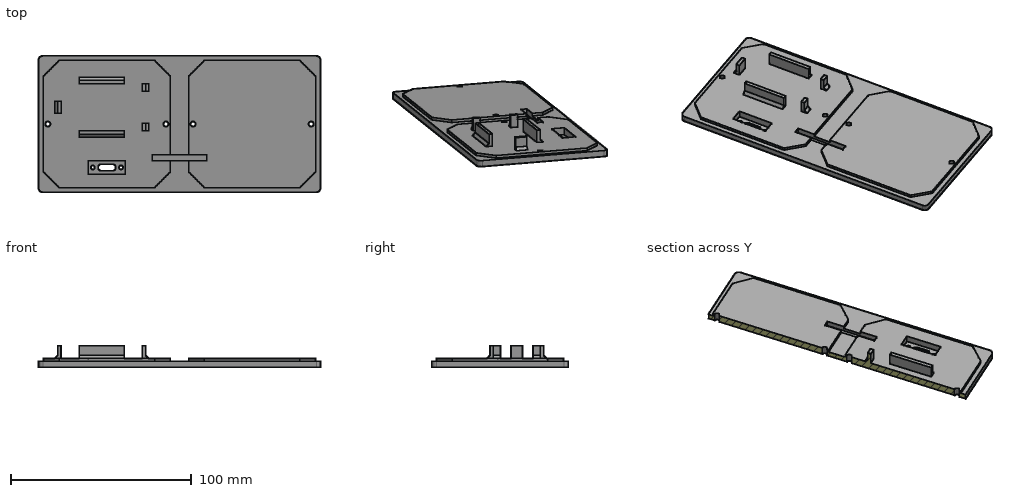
import cadquery as cq

PLATE_LENGTH = 156.0
PLATE_WIDTH = 75.5
PLATE_THICKNESS = 3.5
PLATE_CORNER_RADIUS = 2.5
TOTAL_HEIGHT = 12.0

PANEL_PITCH = 80.25
PANEL_LENGTH = 70.25
PANEL_WIDTH = 70.25
PANEL_HEIGHT = 1.5
PANEL_CORNER_CUT = 8.75
PANEL_TOP = PLATE_THICKNESS + PANEL_HEIGHT
PANEL_CENTERS = (-PANEL_PITCH / 2, PANEL_PITCH / 2)

SCREW_DIAMETER = 2.7
SCREW_SPACING = 65.25

BOARD_LEFT = -65.35
BOARD_LENGTH = 44.7
BOARD_WIDTH = 25.8
BOARD_CENTER_Y = 9.3
BOARD_RIGHT = BOARD_LEFT + BOARD_LENGTH
BOARD_FRONT = BOARD_CENTER_Y - BOARD_WIDTH / 2
BOARD_BACK = BOARD_CENTER_Y + BOARD_WIDTH / 2
WALL_THICKNESS = 2.0
WALL_HEIGHT = TOTAL_HEIGHT - PANEL_TOP
GUSSET_SIZE = 1.65
SIDE_WALL_LENGTH = 25.0
SIDE_WALL_CENTER_X = -43.0
LEFT_TAB_LENGTH = 6.5
RIGHT_TAB_LENGTH = 4.0

CHANNEL_LENGTH = 30.0
CHANNEL_WIDTH = 3.4
CHANNEL_CENTER_Y = -18.6
CHANNEL_FLOOR = 1.75

POCKET_LENGTH = 20.5
POCKET_WIDTH = 7.3
POCKET_FLOOR = 1.0
POCKET_CENTER_X = PANEL_CENTERS[0]
POCKET_CENTER_Y = -24.0
OPENING_LENGTH = 9.5
OPENING_WIDTH = 3.4
OPENING_CORNER_RADIUS = 1.4
CONNECTOR_SCREW_DIAMETER = 2.1
CONNECTOR_SCREW_SPACING = 15.6


def make_plate():
    plate = cq.Workplane("XY").box(PLATE_LENGTH, PLATE_WIDTH, PLATE_THICKNESS, centered=(True, True, False))
    return plate.edges("|Z").fillet(PLATE_CORNER_RADIUS)


def make_panels():
    panels = cq.Workplane("XY").workplane(offset=PLATE_THICKNESS)
    panels = panels.pushPoints([(x, 0) for x in PANEL_CENTERS])
    panels = panels.rect(PANEL_LENGTH, PANEL_WIDTH).extrude(PANEL_HEIGHT)
    return panels.edges("|Z").chamfer(PANEL_CORNER_CUT)


def make_wall(length, inner_x, inner_y, outward_angle):
    """Upright wall with a 45 degree gusset along the foot of its outer face.

    (inner_x, inner_y) is the middle of the inner face; outward_angle is the
    direction, in degrees from +X, in which the outer face looks.
    """
    foot = WALL_THICKNESS + GUSSET_SIZE
    profile = [
        (0, 0),
        (foot, 0),
        (WALL_THICKNESS, GUSSET_SIZE),
        (WALL_THICKNESS, WALL_HEIGHT),
        (0, WALL_HEIGHT),
    ]
    wall = cq.Workplane("XZ").polyline(profile).close().extrude(length / 2, both=True)
    wall = wall.rotate((0, 0, 0), (0, 0, 1), outward_angle)
    return wall.translate((inner_x, inner_y, PANEL_TOP))


def make_board_walls():
    half_tab = RIGHT_TAB_LENGTH / 2
    walls = make_wall(SIDE_WALL_LENGTH, SIDE_WALL_CENTER_X, BOARD_BACK, 90)
    walls = walls.add(make_wall(SIDE_WALL_LENGTH, SIDE_WALL_CENTER_X, BOARD_FRONT, -90))
    walls = walls.add(make_wall(LEFT_TAB_LENGTH, BOARD_LEFT, BOARD_CENTER_Y, 180))
    for tab_y in (BOARD_FRONT + half_tab, BOARD_BACK - half_tab):
        walls = walls.add(make_wall(RIGHT_TAB_LENGTH, BOARD_RIGHT, tab_y, 0))
    return walls.combine()


def make_screw_holes():
    points = []
    for panel_x in PANEL_CENTERS:
        points += [(panel_x - SCREW_SPACING / 2, 0), (panel_x + SCREW_SPACING / 2, 0)]
    return cq.Workplane("XY").pushPoints(points).circle(SCREW_DIAMETER / 2).extrude(PANEL_TOP)


def make_channel():
    channel = cq.Workplane("XY").workplane(offset=CHANNEL_FLOOR).center(0, CHANNEL_CENTER_Y)
    return channel.rect(CHANNEL_LENGTH, CHANNEL_WIDTH).extrude(PANEL_TOP - CHANNEL_FLOOR)


def make_connector_cutout():
    base = cq.Workplane("XY").center(POCKET_CENTER_X, POCKET_CENTER_Y)
    pocket = base.workplane(offset=POCKET_FLOOR).rect(POCKET_LENGTH, POCKET_WIDTH)
    pocket = pocket.extrude(PANEL_TOP - POCKET_FLOOR)
    opening = base.rect(OPENING_LENGTH, OPENING_WIDTH).extrude(PANEL_TOP)
    opening = opening.edges("|Z").fillet(OPENING_CORNER_RADIUS)
    screws = base.rarray(CONNECTOR_SCREW_SPACING, 1, 2, 1).circle(CONNECTOR_SCREW_DIAMETER / 2)
    return pocket.union(opening).union(screws.extrude(PANEL_TOP))


result = make_plate().union(make_panels()).union(make_board_walls())
result = result.cut(make_screw_holes()).cut(make_channel()).cut(make_connector_cutout())